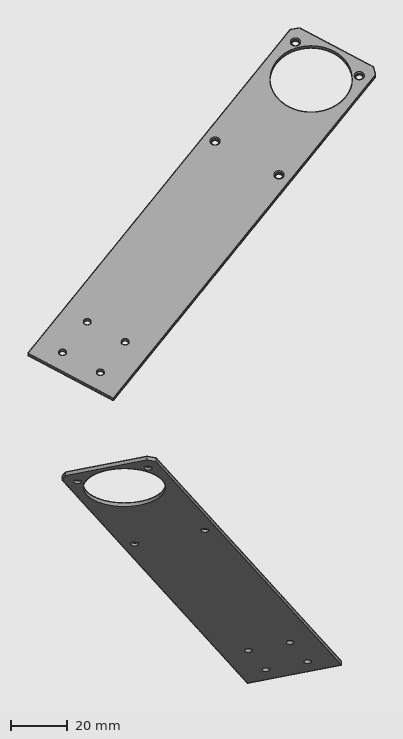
import cadquery as cq

width = 36.0
length = 171.5
thickness = 1.5
corner_chamfer = 2.4

opening_diameter = 29.0
opening_from_end = 16.5

sunk_hole_diameter = 2.7
sink_diameter = 3.6
sink_angle = 90
sunk_spacing_x = 27.0
sunk_from_end = 6.0
sunk_spacing_y = 51.8

plain_hole_diameter = 2.7
plain_spacing = 16.0
plain_from_end = 7.0

far_end = length / 2
near_end = -length / 2


def top_face_at(part, y):
    """Workplane on the top face, with its origin on the centreline at y."""
    return part.copyWorkplane(cq.Workplane("XY", origin=(0, y, thickness)))


plate = (
    cq.Workplane("XY")
    .box(width, length, thickness, centered=(True, True, False))
    .edges("|Z and >Y")
    .chamfer(corner_chamfer)
)

plate = top_face_at(plate, far_end - opening_from_end).hole(opening_diameter)

sunk_centre_y = far_end - sunk_from_end - sunk_spacing_y / 2
plate = (
    top_face_at(plate, sunk_centre_y)
    .rarray(sunk_spacing_x, sunk_spacing_y, 2, 2)
    .cskHole(sunk_hole_diameter, sink_diameter, sink_angle)
)

plain_centre_y = near_end + plain_from_end + plain_spacing / 2
plate = (
    top_face_at(plate, plain_centre_y)
    .rarray(plain_spacing, plain_spacing, 2, 2)
    .hole(plain_hole_diameter)
)

result = plate